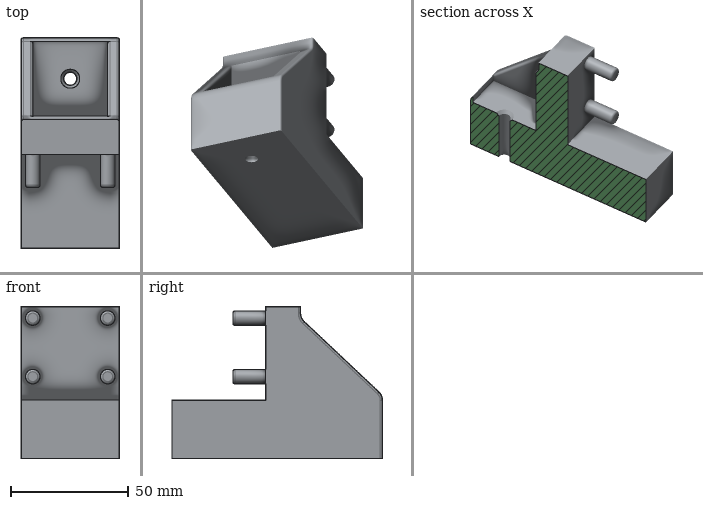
import cadquery as cq
import math

width = 42.0
length = 90.0
height = 65.0
shelf_height = 25.0

upright_front = 40.05
upright_back = 55.0
slope_top = 60.0
slope_bottom = 27.0
bend_radius = 5.0
edge_radius = 1.0

pocket_width = 32.0
pocket_floor = shelf_height
hole_diameter = 5.5
countersink_diameter = 8.1
countersink_angle = 90.0

pin_diameter = 6.2
pin_length = 14.0
pin_spacing_x = 32.0
pin_heights = (35.0, 60.0)

slope_angle = math.atan2(slope_top - slope_bottom, length - upright_back)
bend_turn = math.pi / 2 - slope_angle
bend_depth = bend_radius * (1 - math.cos(bend_turn))
pocket_start = upright_back + bend_depth
pocket_end = length - bend_depth
pocket_middle = (pocket_start + pocket_end) / 2


def make_body():
    """Stepped block with a sloped back, its bends and its side edges rounded."""
    outline = [
        (0, 0),
        (length, 0),
        (length, slope_bottom),
        (upright_back, slope_top),
        (upright_back, height),
        (upright_front, height),
        (upright_front, shelf_height),
        (0, shelf_height),
    ]
    body = cq.Workplane("YZ").polyline(outline).close().extrude(width / 2, both=True)
    bends = cq.selectors.BoxSelector(
        (-width, upright_back - edge_radius, slope_bottom - edge_radius),
        (width, length + edge_radius, slope_top + edge_radius),
    )
    body = body.edges("|X").edges(bends).fillet(bend_radius)
    back_edges = body.faces(">Y").edges("|Z")
    return back_edges.fillet(edge_radius)


def make_pocket():
    """Straight-sided pocket spanning the flat of the slope."""
    return cq.Workplane("XY").box(
        pocket_width, pocket_end - pocket_start, height, centered=(True, False, False)
    ).translate((0, pocket_start, pocket_floor))


def make_rim_cutter(side):
    """Cutter that rounds the edge between one pocket side (-1 or 1) and the slope."""
    start_height = slope_top - bend_depth * math.tan(slope_angle)
    run_length = (pocket_end - pocket_start) / math.cos(slope_angle)
    run_direction = (0, math.cos(slope_angle), -math.sin(slope_angle))
    section_plane = cq.Plane(
        origin=(side * pocket_width / 2, pocket_start, start_height),
        xDir=(1, 0, 0),
        normal=run_direction,
    )
    arc_middle = edge_radius * (1 - math.sqrt(0.5))
    return (
        cq.Workplane(section_plane)
        .moveTo(0, 0)
        .lineTo(side * edge_radius, 0)
        .threePointArc((side * arc_middle, arc_middle), (0, edge_radius))
        .close()
        .extrude(run_length)
    )


def make_pin(x, z):
    """Pin standing out of the upright toward -Y, with a rounded tip."""
    pin = cq.Workplane("XZ", origin=(x, upright_front, z)).circle(pin_diameter / 2).extrude(pin_length)
    return pin.faces("<Y").edges().fillet(edge_radius)


result = make_body().cut(make_pocket())
for rim_side in (-1, 1):
    result = result.cut(make_rim_cutter(rim_side))
result = (
    result.copyWorkplane(cq.Workplane("XY", origin=(0, pocket_middle, pocket_floor)))
    .cskHole(hole_diameter, countersink_diameter, countersink_angle)
)
for pin_x in (-pin_spacing_x / 2, pin_spacing_x / 2):
    for pin_z in pin_heights:
        result = result.union(make_pin(pin_x, pin_z))